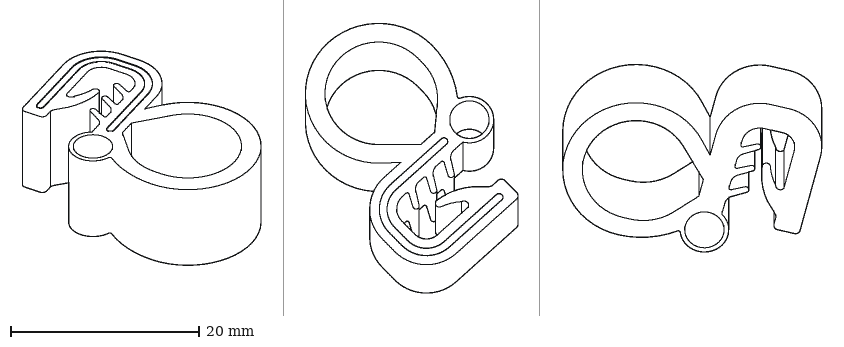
import cadquery as cq
import math

LENGTH = 26.42
HEIGHT = 10.0

CLIP_WIDTH = 11.41
CLIP_TOP = 13.95
WALL = 2.88
OUTER_LEFT_RADIUS = 4.6
OUTER_RIGHT_RADIUS = 4.8
LEG_CORNER_RADIUS = 0.53
INNER_RIGHT = CLIP_WIDTH - WALL

GROOVE_INSET = 1.03
GROOVE_WIDTH = 0.82
GROOVE_BOTTOM = 1.32
GROOVE_DEPTH = 0.1

RIB_COUNT = 3
RIB_PITCH = 2.55
TOP_RIB_TIP_Y = 8.82
RIB_ROOT_TOP = -0.25
RIB_ROOT_BOTTOM = -1.98
RIB_EMBED = 0.26

HOOK_ROOT_BOTTOM = 1.4
HOOK_ROOT_TOP = 4.83

TUBE_X = 9.88
TUBE_Y = -1.9
TUBE_RADIUS = 2.6
TUBE_HOLE_DIAMETER = 4.17
NOTCH_X = TUBE_X + TUBE_RADIUS
NOTCH_Y = TUBE_Y - 0.92
NOTCH_RADIUS = 0.2

RING_RADIUS = 7.8
RING_HOLE_RADIUS = 5.7
RING_X = LENGTH - RING_RADIUS
RING_Y = 3.1
RING_TAIL_RADIUS = 10.17
HOLE_SHIFT = 0.8
RING_TOP_JOINT_Y = 6.65
HOLE_TOP_Y = 3.73
HOLE_BOTTOM_Y = 1.75


def extrude(sketch):
    return sketch.close().extrude(HEIGHT)


def arch(inset, bottom):
    """Tall block with a rounded top, inset evenly from the outside of the channel."""
    width = CLIP_WIDTH - 2 * inset
    top = CLIP_TOP - inset
    block = cq.Workplane("XY").box(width, top - bottom, HEIGHT, centered=False)
    block = block.translate((inset, bottom, 0))
    block = block.edges("|Z and >Y and <X").fillet(OUTER_LEFT_RADIUS - inset)
    return block.edges("|Z and >X and >Y").fillet(OUTER_RIGHT_RADIUS - inset)


def make_channel():
    channel = arch(0, 0).edges("|Z and <Y and <X").fillet(LEG_CORNER_RADIUS)
    channel = channel.cut(arch(WALL, -WALL))
    corner = cq.selectors.NearestToPointSelector((WALL, 0, HEIGHT / 2))
    channel = channel.edges(corner).fillet(LEG_CORNER_RADIUS)
    neck = cq.Workplane("XY").box(WALL, -TUBE_Y, HEIGHT, centered=False)
    return channel.union(neck.translate((INNER_RIGHT, TUBE_Y, 0)))


def make_hook():
    return extrude(
        cq.Workplane("XY")
        .moveTo(WALL, HOOK_ROOT_BOTTOM)
        .threePointArc((3.0, 1.66), (3.28, 1.98))
        .lineTo(4.15, 2.88)
        .threePointArc((5.23, 4.73), (5.73, 6.87))
        .threePointArc((5.35, 7.25), (4.91, 7.03))
        .threePointArc((4.5, 6.0), (3.8, 4.97))
        .threePointArc((3.3, 4.57), (WALL, HOOK_ROOT_TOP))
        .lineTo(WALL / 2, HOOK_ROOT_TOP)
        .lineTo(WALL / 2, HOOK_ROOT_BOTTOM)
    )


def make_rib(tip_y):
    """Slanted rib with a round tip; heights are relative to the tip."""
    root_x = INNER_RIGHT + RIB_EMBED
    return extrude(
        cq.Workplane("XY")
        .moveTo(INNER_RIGHT, tip_y + RIB_ROOT_BOTTOM)
        .threePointArc((8.32, tip_y - 1.43), (7.87, tip_y - 1.05))
        .lineTo(6.55, tip_y - 0.26)
        .threePointArc((6.5, tip_y + 0.2), (6.95, tip_y + 0.3))
        .lineTo(8.2, tip_y - 0.35)
        .threePointArc((8.38, tip_y - 0.4), (INNER_RIGHT, tip_y + RIB_ROOT_TOP))
        .lineTo(root_x, tip_y + RIB_ROOT_TOP)
        .lineTo(root_x, tip_y + RIB_ROOT_BOTTOM)
    )


def tangent_point(start, center, radius, side):
    """Point where a line from start touches a circle; side +1 is above, -1 below."""
    dx = start[0] - center[0]
    dy = start[1] - center[1]
    angle = math.atan2(dy, dx) - side * math.acos(radius / math.hypot(dx, dy))
    return point_on_circle(center, radius, angle)


def point_on_circle(center, radius, angle):
    return (center[0] + radius * math.cos(angle), center[1] + radius * math.sin(angle))


def ring_outline(radius, top_start):
    """Line up to the ring, three quarters of it clockwise, ending at the bottom."""
    center = (RING_X, RING_Y)
    return (
        cq.Workplane("XY")
        .moveTo(*top_start)
        .lineTo(*tangent_point(top_start, center, radius, 1))
        .threePointArc((RING_X + radius, RING_Y), (RING_X, RING_Y - radius))
    )


def make_ring():
    tail_center = (RING_X, RING_Y - RING_RADIUS + RING_TAIL_RADIUS)
    middle_angle = math.radians(250)
    end_angle = math.radians(225)
    return extrude(
        ring_outline(RING_RADIUS, (CLIP_WIDTH, RING_TOP_JOINT_Y))
        .threePointArc(
            point_on_circle(tail_center, RING_TAIL_RADIUS, middle_angle),
            point_on_circle(tail_center, RING_TAIL_RADIUS, end_angle),
        )
        .lineTo(TUBE_X, TUBE_Y)
        .lineTo(CLIP_WIDTH - WALL / 2, 0)
        .lineTo(CLIP_WIDTH - WALL / 2, RING_TOP_JOINT_Y)
    )


def make_ring_hole():
    shifted = (RING_X - HOLE_SHIFT, RING_Y)
    bottom_start = (CLIP_WIDTH, HOLE_BOTTOM_Y)
    middle_angle = math.radians(250)
    touch = tangent_point(bottom_start, shifted, RING_HOLE_RADIUS, -1)
    return extrude(
        ring_outline(RING_HOLE_RADIUS, (CLIP_WIDTH, HOLE_TOP_Y))
        .lineTo(RING_X - HOLE_SHIFT, RING_Y - RING_HOLE_RADIUS)
        .threePointArc(point_on_circle(shifted, RING_HOLE_RADIUS, middle_angle), touch)
        .lineTo(*bottom_start)
    )


def make_groove():
    inner_inset = GROOVE_INSET + GROOVE_WIDTH
    end_radius = GROOVE_WIDTH / 2
    end_y = GROOVE_BOTTOM + end_radius
    groove = arch(GROOVE_INSET, end_y).cut(arch(inner_inset, 0))
    middle = GROOVE_INSET + end_radius
    ends = [(middle, end_y), (CLIP_WIDTH - middle, end_y)]
    groove = groove.union(cq.Workplane("XY").pushPoints(ends).circle(end_radius).extrude(HEIGHT))
    return groove.translate((0, 0, HEIGHT - GROOVE_DEPTH))


def tube_cylinder(radius):
    return cq.Workplane("XY").center(TUBE_X, TUBE_Y).circle(radius).extrude(HEIGHT)


body = make_channel().union(make_hook())
for index in range(RIB_COUNT):
    body = body.union(make_rib(TOP_RIB_TIP_Y - index * RIB_PITCH))
body = body.union(make_ring()).union(tube_cylinder(TUBE_RADIUS))

notch = cq.selectors.NearestToPointSelector((NOTCH_X, NOTCH_Y, HEIGHT / 2))
body = body.edges("|Z").edges(notch).fillet(NOTCH_RADIUS)

body = body.cut(make_ring_hole())
body = body.cut(tube_cylinder(TUBE_HOLE_DIAMETER / 2))
result = body.cut(make_groove())